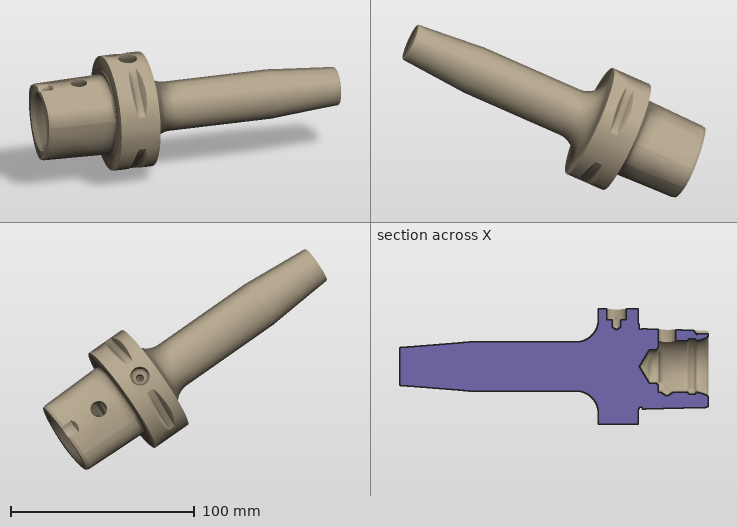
import cadquery as cq
import math


SHANK_LENGTH = 38.0
NOSE_LENGTH = 130.0

FLANGE_DIAMETER = 63.0
FLANGE_LENGTH = 22.0
NECK_DIAMETER = 27.0
NECK_FILLET = 12.0
TIP_DIAMETER = 21.0
TIP_TAPER_LENGTH = 38.0
TIP_CHAMFER = 0.5

SHANK_WIDTH = 44.1
LOBE_HEIGHT = 1.35
LOBE_CENTRE_RADIUS = 10.35
LOBE_ANGLES = (30, 150, 270)
LOBE_PITCH = 120
LOBE_HALF_ANGLE = 30
SHANK_TAPER = math.degrees(math.atan(1 / 40))
SHANK_CHAMFER_LENGTH = 1.6
SHANK_CHAMFER_WIDTH = 0.5

RELIEF_LENGTH = 2.0
RELIEF_RADIUS = 22.2
RELIEF_DEPTH = 0.15
FOOT_RADIUS = 22.7
FOOT_HEIGHT = 0.5
FLARE_RADIUS = 24.35
FOOT_FILLET = 3.0

BORE_MOUTH_DIAMETER = 33.0
MOUTH_CHAMFER = 1.0
BORE_CONE_DEPTH = 5.5
BORE_DIAMETER = 28.0
GROOVE_START = 6.5
GROOVE_END = 11.5
GROOVE_DIAMETER = 30.0
GROOVE_FLANK = 1.0
BORE_DEPTH = 27.0
PILOT_DIAMETER = 20.6
PILOT_CORE_DIAMETER = 18.2
PILOT_DEPTH = 32.0
DRILL_HALF_ANGLE = 59.0

SHANK_HOLE_DIAMETER = 9.0
SHANK_HOLE_Y = -15.5
SHANK_HOLE_FLOOR = -13.3

NOTCH_RADIUS = 4.9
NOTCH_AXIS_Z = 22.9
NOTCH_LENGTH = 6.3
NOTCH_HEAD_RADIUS = 5.4
NOTCH_HEAD_LENGTH = 4.2

RIM_FEATURE_Y = 12.0
SLOT_FLOOR_RADIUS = 28.0
SLOT_FLOOR_WIDTH = 3.9
SLOT_FLANK_ANGLE = 30.0
SLOT_ANGLES = (45, 135, 225, 315)
RIM_HOLE_DIAMETER = 10.5
RIM_HOLE_DEPTH = 6.0
RIM_PILOT_DIAMETER = 4.4
RIM_PILOT_DEPTH = 10.0

FLANGE_RADIUS = FLANGE_DIAMETER / 2


def drill_tip(radius):
    """Length of the conical point left by a drill of this radius."""
    return radius / math.tan(math.radians(DRILL_HALF_ANGLE))


def turned(points):
    """Solid of revolution about Y from (radius, y) points."""
    return cq.Workplane("XY").polyline(points).close().revolve(360, (0, 0), (0, 1))


def polar(radius, degrees):
    """Point at a polar position."""
    angle = math.radians(degrees)
    return (radius * math.cos(angle), radius * math.sin(angle))


def shank_outline(y, inset=0.0):
    """Polygon outline in the plane at y, with lobes at 30, 150 and 270 degrees in X-Z."""
    lobe_tip = SHANK_WIDTH / 2 + LOBE_HEIGHT - inset
    flat_middle = SHANK_WIDTH / 2 - LOBE_HEIGHT - inset
    lobe_radius = lobe_tip - LOBE_CENTRE_RADIUS

    def junction(lobe, side):
        centre = polar(LOBE_CENTRE_RADIUS, lobe)
        reach = polar(lobe_radius, lobe + side * LOBE_HALF_ANGLE)
        return (centre[0] + reach[0], centre[1] + reach[1])

    outline = cq.Workplane("XZ", origin=(0, y, 0)).moveTo(*junction(LOBE_ANGLES[0], -1))
    for lobe in LOBE_ANGLES:
        outline = outline.threePointArc(polar(lobe_tip, lobe), junction(lobe, 1))
        next_start = junction(lobe + LOBE_PITCH, -1)
        outline = outline.threePointArc(polar(flat_middle, lobe + LOBE_PITCH / 2), next_start)
    return outline.close()


def make_nose():
    """Flange, filleted neck, cylinder and tapered tip."""
    neck = NECK_DIAMETER / 2
    tip = TIP_DIAMETER / 2
    fillet_centre = (neck + NECK_FILLET, FLANGE_LENGTH + NECK_FILLET)
    fillet_middle = polar(NECK_FILLET, 225)
    profile = (
        cq.Workplane("XY")
        .lineTo(FLANGE_RADIUS, 0)
        .lineTo(FLANGE_RADIUS, FLANGE_LENGTH)
        .lineTo(neck + NECK_FILLET, FLANGE_LENGTH)
        .threePointArc(
            (fillet_centre[0] + fillet_middle[0], fillet_centre[1] + fillet_middle[1]),
            (neck, FLANGE_LENGTH + NECK_FILLET),
        )
        .lineTo(neck, NOSE_LENGTH - TIP_TAPER_LENGTH)
        .lineTo(tip, NOSE_LENGTH - TIP_CHAMFER)
        .lineTo(tip - TIP_CHAMFER, NOSE_LENGTH)
        .lineTo(0, NOSE_LENGTH)
        .close()
    )
    return profile.revolve(360, (0, 0), (0, 1))


def make_shank():
    """Tapered polygon with a chamfered end, a relief behind the flange and a flared foot."""
    taper_length = SHANK_LENGTH - SHANK_CHAMFER_LENGTH
    taper_inset = taper_length * math.tan(math.radians(SHANK_TAPER))
    chamfer_angle = math.degrees(math.atan(SHANK_CHAMFER_WIDTH / SHANK_CHAMFER_LENGTH))
    body = shank_outline(0).extrude(taper_length, taper=SHANK_TAPER)
    end = shank_outline(-taper_length, taper_inset).extrude(SHANK_CHAMFER_LENGTH, taper=chamfer_angle)
    relief_blank = cq.Workplane("XZ").circle(FLANGE_RADIUS).extrude(RELIEF_LENGTH)
    relief_core = (
        shank_outline(0, RELIEF_DEPTH)
        .extrude(RELIEF_LENGTH)
        .intersect(cq.Workplane("XZ").circle(RELIEF_RADIUS).extrude(RELIEF_LENGTH))
    )
    foot = (
        cq.Workplane("XY")
        .lineTo(0, -FOOT_HEIGHT)
        .lineTo(FOOT_RADIUS, -FOOT_HEIGHT)
        .radiusArc((FLARE_RADIUS, 0), FOOT_FILLET)
        .close()
        .revolve(360, (0, 0), (0, 1))
    )
    return body.union(end).cut(relief_blank.cut(relief_core)).union(foot)


def make_bore():
    """Chamfered mouth, cone, grooved cylinder and a drilled pilot, all on the axis."""
    rear = -SHANK_LENGTH
    mouth = BORE_MOUTH_DIAMETER / 2
    bore = BORE_DIAMETER / 2
    groove = GROOVE_DIAMETER / 2
    pilot = PILOT_DIAMETER / 2
    core = PILOT_CORE_DIAMETER / 2
    return turned(
        [
            (0, rear),
            (mouth, rear),
            (mouth - MOUTH_CHAMFER, rear + MOUTH_CHAMFER),
            (bore, rear + BORE_CONE_DEPTH),
            (bore, rear + GROOVE_START),
            (groove, rear + GROOVE_START + GROOVE_FLANK),
            (groove, rear + GROOVE_END - GROOVE_FLANK),
            (bore, rear + GROOVE_END),
            (bore, rear + BORE_DEPTH),
            (pilot, rear + BORE_DEPTH),
            (core, rear + BORE_DEPTH + pilot - core),
            (core, rear + PILOT_DEPTH),
            (0, rear + PILOT_DEPTH + drill_tip(core)),
        ]
    )


def radial_drill(diameter, y, floor):
    """Drill pointing to -Z, with its full diameter down to the height floor."""
    radius = diameter / 2
    profile = (
        cq.Workplane("XZ", origin=(0, y, 0))
        .moveTo(0, floor - drill_tip(radius))
        .lineTo(radius, floor)
        .lineTo(radius, FLANGE_DIAMETER)
        .lineTo(0, FLANGE_DIAMETER)
        .close()
    )
    return profile.revolve(360, (0, 0), (0, 1))


def make_rim_counterbore():
    """Flat-bottomed radial hole in the top of the flange rim."""
    floor = cq.Workplane("XY", origin=(0, RIM_FEATURE_Y, FLANGE_RADIUS - RIM_HOLE_DEPTH))
    return floor.circle(RIM_HOLE_DIAMETER / 2).extrude(RIM_HOLE_DEPTH)


def make_notch():
    """Round-bottomed notch along Y, closed by a slightly wider conical head."""
    rear = -SHANK_LENGTH
    head = rear + NOTCH_LENGTH
    cutter = turned(
        [
            (0, rear),
            (NOTCH_RADIUS, rear),
            (NOTCH_RADIUS, head),
            (NOTCH_HEAD_RADIUS, head),
            (0, head + NOTCH_HEAD_LENGTH),
        ]
    )
    return cutter.translate((0, 0, NOTCH_AXIS_Z))


def make_slot(angle):
    """V-sided gripper slot cut as a chord across the flange rim."""
    depth = FLANGE_RADIUS - SLOT_FLOOR_RADIUS
    floor_half = SLOT_FLOOR_WIDTH / 2
    rim_half = floor_half + depth * math.tan(math.radians(SLOT_FLANK_ANGLE))
    prism = (
        cq.Workplane("XY")
        .polyline(
            [
                (SLOT_FLOOR_RADIUS, RIM_FEATURE_Y - floor_half),
                (FLANGE_RADIUS, RIM_FEATURE_Y - rim_half),
                (FLANGE_RADIUS, RIM_FEATURE_Y + rim_half),
                (SLOT_FLOOR_RADIUS, RIM_FEATURE_Y + floor_half),
            ]
        )
        .close()
        .extrude(FLANGE_RADIUS, both=True)
    )
    return prism.rotate((0, 0, 0), (0, 1, 0), angle)


result = make_nose().union(make_shank()).cut(make_bore()).cut(make_notch())
result = result.cut(radial_drill(SHANK_HOLE_DIAMETER, SHANK_HOLE_Y, SHANK_HOLE_FLOOR))
result = result.cut(make_rim_counterbore())
result = result.cut(radial_drill(RIM_PILOT_DIAMETER, RIM_FEATURE_Y, FLANGE_RADIUS - RIM_PILOT_DEPTH))
for slot_angle in SLOT_ANGLES:
    result = result.cut(make_slot(slot_angle))